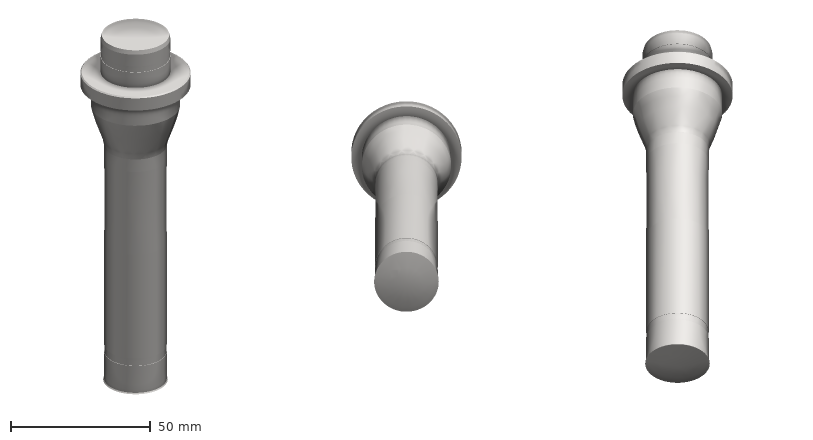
import cadquery as cq
import math

shank_radius = 22.4 / 2
shank_bottom = 1.7
shank_top = 96.3

waist_radius = 22.3 / 2
waist_bottom = 57.7
waist_top = 91.2

taper_points = [
    (11.4, 97.7),
    (12.8, 101.8),
    (14.4, 106.3),
]

shoulder_radius = 32.0 / 2
shoulder_bottom = 112.5
flange_radius = 39.5 / 2
flange_bottom = 120.7
flange_top = 126.0
flange_chamfer = 0.4
spigot_radius = 25.0 / 2
total_height = 141.0
spigot_chamfer_width = 0.4
spigot_chamfer_height = 1.5

spigot_groove_radius = 24.7 / 2
spigot_groove_bottom = 132.3
spigot_groove_top = 134.7
shank_groove_radius = 22.1 / 2
shank_groove_bottom = 12.5
shank_groove_top = 15.5

tip_rim_radius = 11.5
tip_rim_height = 1.3


def make_holder():
    """Turned body from the shank up to the spigot."""
    profile = (
        cq.Workplane("XZ")
        .moveTo(0, shank_bottom)
        .lineTo(shank_radius, shank_bottom)
        .lineTo(shank_radius, shank_groove_bottom)
        .lineTo(shank_groove_radius, shank_groove_bottom)
        .lineTo(shank_groove_radius, shank_groove_top)
        .lineTo(shank_radius, shank_groove_top)
        .lineTo(shank_radius, waist_bottom)
        .threePointArc((waist_radius, (waist_bottom + waist_top) / 2), (shank_radius, waist_top))
        .lineTo(shank_radius, shank_top)
        .spline([*taper_points, (shoulder_radius, shoulder_bottom)], includeCurrent=True)
        .lineTo(shoulder_radius, flange_bottom)
        .lineTo(flange_radius, flange_bottom)
        .lineTo(flange_radius, flange_top - flange_chamfer)
        .lineTo(flange_radius - flange_chamfer, flange_top)
        .lineTo(spigot_radius, flange_top)
        .lineTo(spigot_radius, spigot_groove_bottom)
        .lineTo(spigot_groove_radius, spigot_groove_bottom)
        .lineTo(spigot_groove_radius, spigot_groove_top)
        .lineTo(spigot_radius, spigot_groove_top)
        .lineTo(spigot_radius, total_height - spigot_chamfer_height)
        .lineTo(spigot_radius - spigot_chamfer_width, total_height)
        .lineTo(0, total_height)
        .close()
    )
    return profile.revolve(360, (0, 0), (0, 1))


def make_tip():
    """Disc under the shank, slightly wider than it, with a shallow dome below."""
    dome_radius = (tip_rim_radius**2 + tip_rim_height**2) / (2 * tip_rim_height)
    mid_radius = tip_rim_radius / 2
    mid_height = dome_radius - math.sqrt(dome_radius**2 - mid_radius**2)
    return (
        cq.Workplane("XZ")
        .threePointArc((mid_radius, mid_height), (tip_rim_radius, tip_rim_height))
        .lineTo(shank_radius, shank_bottom)
        .lineTo(0, shank_bottom)
        .close()
        .revolve(360, (0, 0), (0, 1))
    )


holder = make_holder()
tip = make_tip()

result = cq.Compound.makeCompound([holder.val(), tip.val()])